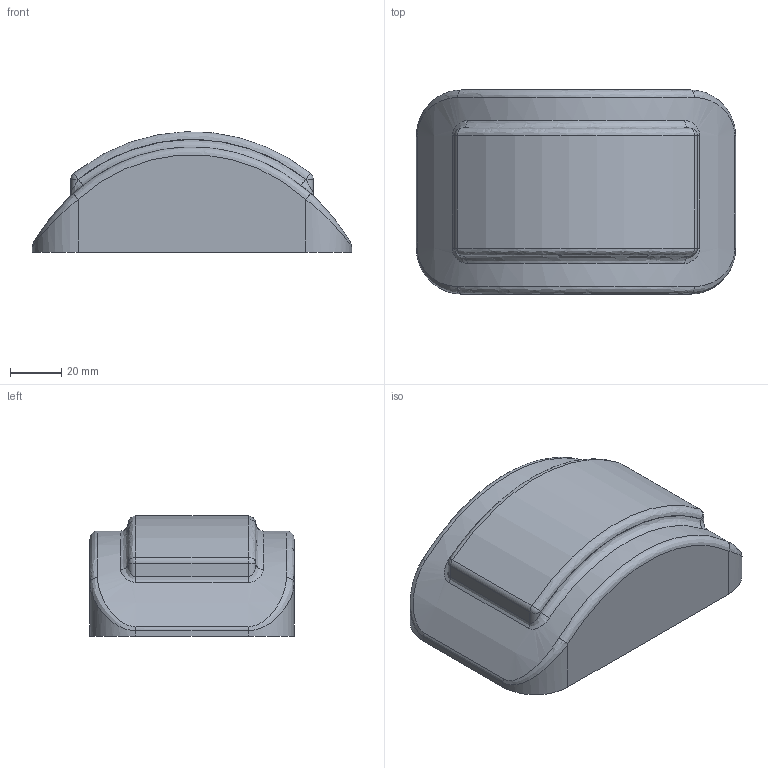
import cadquery as cq

body_length = 125.0
body_width = 80.0
body_corner_radius = 18.0
crown_height = 41.2
end_wall_height = 3.0

pole_inset = 29.5
pole_rise = (crown_height - end_wall_height) * 4 / 3

pad_length = 95.0
pad_width = 50.0
pad_rise = 6.0

blend_radius = 3.0

wall_sliver = 0.01
foot_radius = pad_rise - blend_radius - wall_sliver


def crowned_block():
    """Block with a flat base, two short end walls and the crown, sharp on every edge."""
    half_length = body_length / 2
    right_end = (half_length, end_wall_height)
    left_end = (-half_length, end_wall_height)
    right_tangent = (-3 * pole_inset, 3 * pole_rise)
    left_tangent = (-3 * pole_inset, -3 * pole_rise)
    return (
        cq.Workplane("XZ", origin=(0, body_width / 2, 0))
        .moveTo(-half_length, 0)
        .lineTo(half_length, 0)
        .lineTo(*right_end)
        .spline(
            [right_end, left_end],
            tangents=[right_tangent, left_tangent],
            parameters=[0, 1],
            scale=False,
        )
        .close()
        .extrude(body_width)
    )


def make_body():
    """Crowned block with rounded corners and a blended crown rim."""
    block = crowned_block()
    rounded = block.edges("|Z").fillet(body_corner_radius)
    return rounded.faces(">Z").edges().fillet(blend_radius)


def make_pad():
    """Upright column cut off by the offset crown, with every edge blended but those of its hidden base."""
    block = crowned_block()
    crown_layer = block.faces(">Z").val().thicken(pad_rise)
    raised_block = block.union(crown_layer)
    column_height = crown_height + 2 * pad_rise
    column = cq.Workplane("XY").box(pad_length, pad_width, column_height, centered=(True, True, False))
    return column.intersect(raised_block).edges("not <Z").fillet(blend_radius)


def join_with_blend(body, pad):
    """Unite body and pad and fillet their seam, the inner boundary of the crown face."""
    joined = body.union(pad)
    seam_edges = []
    for face in joined.faces().vals():
        for wire in face.innerWires():
            seam_edges.extend(wire.Edges())
    return joined.newObject(seam_edges).fillet(foot_radius)


result = join_with_blend(make_body(), make_pad())